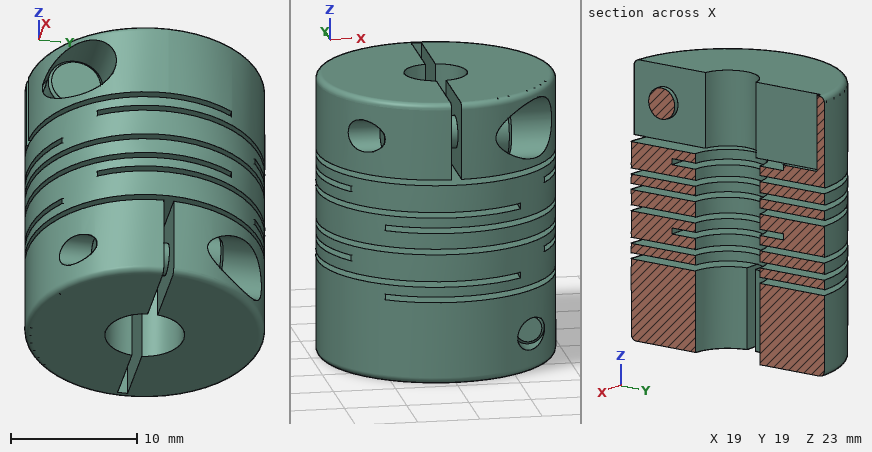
import cadquery as cq

length = 23.0
diameter = 19.0
edge_fillet = 0.5
upper_bore_diameter = 5.01
lower_bore_diameter = 6.3

cut_width = 0.45
web_offset = 5.43
pair_pitch = 1.26
crossed_pitch = 2.67
group_pitch = 5.68
upper_hub_height = 6.2
group_count = 2

slot_width = 0.8
slot_reach = 8.75

screw_offset = 6.49
screw_inset = 3.1
shank_diameter = 2.6
head_diameter = 4.42
counterbore_diameter = 4.88
counterbore_floor = 2.07
head_end = 4.6
tip_end = 5.45
screw_chamfer = 0.23

quarter_turn = 90

upper_hub_base = length - upper_hub_height
last_cut_drop = (group_count - 1) * group_pitch + crossed_pitch + pair_pitch
lower_hub_height = upper_hub_base - last_cut_drop - cut_width


def turned(shape, turns):
    """Turn a shape about the coupling axis by quarter turns."""
    return shape.rotate((0, 0, 0), (0, 0, 1), turns * quarter_turn)


def rod_along_x(rod_diameter, start, end, height):
    """Cylinder parallel to X on the clamp screw line."""
    return (
        cq.Workplane("YZ", origin=(start, -screw_offset, height))
        .circle(rod_diameter / 2)
        .extrude(end - start)
    )


def make_body():
    body = cq.Workplane("XY").circle(diameter / 2).extrude(length).edges().fillet(edge_fillet)
    lower_bore = cq.Workplane("XY").circle(lower_bore_diameter / 2).extrude(upper_hub_base)
    upper_bore = cq.Workplane("XY").circle(upper_bore_diameter / 2).extrude(length)
    return body.cut(lower_bore).cut(upper_bore)


def flexure_cut(top):
    """Thin slab that opens toward -Y and stops at the web on the +Y side."""
    slab = cq.Workplane("XY").box(diameter, diameter, cut_width, centered=(True, False, False))
    return slab.translate((0, web_offset - diameter, top - cut_width))


def clamp_slot(base, height):
    """Radial slot across a hub, open toward -Y."""
    slab = cq.Workplane("XY").box(slot_width, diameter, height, centered=(True, False, False))
    return slab.translate((0, slot_reach - diameter, base))


def screw_hole(height):
    """Through hole with a counterbore on the +X side."""
    hole = rod_along_x(shank_diameter, -diameter / 2, diameter / 2, height)
    counterbore = rod_along_x(counterbore_diameter, counterbore_floor, diameter / 2, height)
    return hole.union(counterbore)


def clamp_screw(height):
    """Cap screw with its head on the +X side, chamfered at both ends."""
    shank = rod_along_x(shank_diameter, -tip_end, counterbore_floor, height)
    shank = shank.faces("<X").chamfer(screw_chamfer)
    head = rod_along_x(head_diameter, counterbore_floor, head_end, height)
    head = head.faces(">X").chamfer(screw_chamfer)
    return shank.union(head)


result = make_body()

for group in range(group_count):
    group_top = upper_hub_base - group * group_pitch
    crossed_top = group_top - crossed_pitch
    result = result.cut(flexure_cut(group_top))
    result = result.cut(turned(flexure_cut(group_top - pair_pitch), 2))
    result = result.cut(turned(flexure_cut(crossed_top), -1))
    result = result.cut(turned(flexure_cut(crossed_top - pair_pitch), 1))

clamps = [
    (upper_hub_base, upper_hub_height, length - screw_inset, 0),
    (0, lower_hub_height, screw_inset, 1),
]
for hub_base, hub_height, screw_height, turns in clamps:
    result = result.cut(turned(clamp_slot(hub_base, hub_height), turns))
    result = result.cut(turned(screw_hole(screw_height), turns))
    result = result.union(turned(clamp_screw(screw_height), turns))